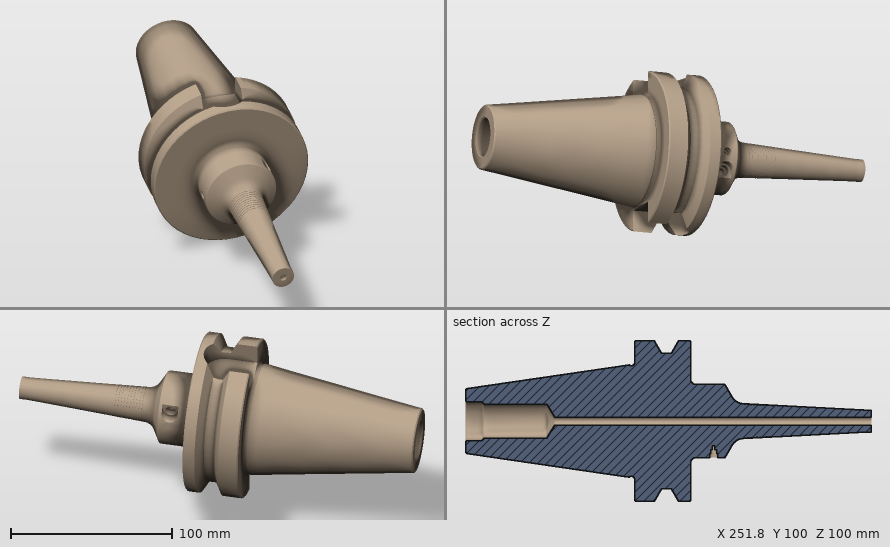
import cadquery as cq
import math


total_length = 251.8
shank_length = 101.7
shank_slope = 7 / 24 / 2
gauge_radius = 35.0
shank_end_radius = gauge_radius - shank_length * shank_slope
shank_end_chamfer = 0.8
neck_radius = 69.0 / 2
neck_step = 0.5
neck_fillet = 1.8

flange_radius = 100.0 / 2
flange_start = 3.0
flange_end = 38.0
flange_chamfer = 0.8
groove_center = 23.0
groove_floor_radius = 42.3
groove_floor_width = 6.0
groove_flank_width = (flange_radius - groove_floor_radius) * math.tan(math.radians(30))

key_slot_width = 25.7
key_slot_floor = 35.0
key_slot_end = 34.2

collar_radius = 45.8 / 2
collar_root_fillet = 3.0
collar_end = 59.2
collar_edge_fillet = 1.0
shoulder_angle = math.radians(60)
shoulder_arc_radius = 8.3

tip_x = total_length - shank_length
tip_radius = 14.0 / 2
tip_length = 5.0
nose_angle = math.radians(3)

ring_count = 10
ring_start = 71.3
ring_pitch = 1.91
ring_width = 0.5
ring_depth = 0.3

bore_mouth_radius = 25.5 / 2
bore_radius = 24.0 / 2
bore_step_depth = 10.0
thread_radius = 21.0 / 2
thread_depth = 50.4
through_radius = 4.5 / 2
drill_half_angle = math.radians(59)

side_hole_x = 52.0
pocket_width = 10.0
pocket_floor = 16.0
pocket_z = 12.0
screw_z = 11.8
screw_diameter = 6.8
screw_depth = 3.8
screw_core_diameter = 4.5
screw_core_depth = 7.5
small_hole_z = 1.0
small_hole_diameters = (5.0, 4.0, 2.32)
small_hole_step = 2.5


def revolve_about_x(outline):
    return outline.close().revolve(360, (0, 0, 0), (1, 0, 0))


def nose_radius(x):
    """Radius of the conical nose at position x."""
    return tip_radius + (tip_x - tip_length - x) * math.tan(nose_angle)


def make_body():
    groove_left = groove_center - groove_floor_width / 2
    groove_right = groove_center + groove_floor_width / 2

    shoulder_drop = shoulder_arc_radius * (math.cos(nose_angle) - math.cos(shoulder_angle))
    shoulder_run = shoulder_arc_radius * (math.sin(shoulder_angle) - math.sin(nose_angle))
    cone_slope = math.tan(shoulder_angle)
    nose_slope = math.tan(nose_angle)
    landing_drop = collar_radius - shoulder_drop - nose_radius(collar_end + shoulder_run)
    cone_length = landing_drop / (cone_slope - nose_slope)
    arc_start = (collar_end + cone_length, collar_radius - cone_length * cone_slope)
    arc_end = (arc_start[0] + shoulder_run, arc_start[1] - shoulder_drop)

    edge_setback = collar_edge_fillet * math.tan(shoulder_angle / 2)
    edge_end = (
        collar_end + edge_setback * math.cos(shoulder_angle),
        collar_radius - edge_setback * math.sin(shoulder_angle),
    )

    outline = (
        cq.Workplane("XY")
        .moveTo(-shank_length, 0)
        .lineTo(-shank_length, shank_end_radius - shank_end_chamfer)
        .lineTo(-shank_length + shank_end_chamfer, shank_end_radius + shank_end_chamfer * shank_slope)
        .lineTo(0, gauge_radius)
        .lineTo(neck_step, neck_radius)
        .lineTo(flange_start - neck_fillet, neck_radius)
        .radiusArc((flange_start, neck_radius + neck_fillet), -neck_fillet)
        .lineTo(flange_start, flange_radius - flange_chamfer)
        .lineTo(flange_start + flange_chamfer, flange_radius)
        .lineTo(groove_left - groove_flank_width, flange_radius)
        .lineTo(groove_left, groove_floor_radius)
        .lineTo(groove_right, groove_floor_radius)
        .lineTo(groove_right + groove_flank_width, flange_radius)
        .lineTo(flange_end - flange_chamfer, flange_radius)
        .lineTo(flange_end, flange_radius - flange_chamfer)
        .lineTo(flange_end, collar_radius + collar_root_fillet)
        .radiusArc((flange_end + collar_root_fillet, collar_radius), -collar_root_fillet)
        .lineTo(collar_end - edge_setback, collar_radius)
        .radiusArc(edge_end, collar_edge_fillet)
        .lineTo(*arc_start)
        .radiusArc(arc_end, -shoulder_arc_radius)
        .lineTo(tip_x - tip_length, tip_radius)
        .lineTo(tip_x, tip_radius)
        .lineTo(tip_x, 0)
    )
    return revolve_about_x(outline)


def make_bore():
    back = -shank_length
    mouth_chamfer = bore_mouth_radius - bore_radius
    step_end = back + bore_step_depth + bore_radius - thread_radius
    point_length = (thread_radius - through_radius) / math.tan(drill_half_angle)
    outline = (
        cq.Workplane("XY")
        .moveTo(back, 0)
        .lineTo(back, bore_mouth_radius)
        .lineTo(back + mouth_chamfer, bore_radius)
        .lineTo(back + bore_step_depth, bore_radius)
        .lineTo(step_end, thread_radius)
        .lineTo(back + thread_depth, thread_radius)
        .lineTo(back + thread_depth + point_length, through_radius)
        .lineTo(tip_x, through_radius)
        .lineTo(tip_x, 0)
    )
    return revolve_about_x(outline)


def make_ring(index):
    """Ring groove; its cutter stands proud of the nose by the groove depth."""
    start = ring_start + index * ring_pitch
    end = start + ring_width
    outline = (
        cq.Workplane("XY")
        .moveTo(start, nose_radius(start) - ring_depth)
        .lineTo(start, nose_radius(start) + ring_depth)
        .lineTo(end, nose_radius(end) + ring_depth)
        .lineTo(end, nose_radius(end) - ring_depth)
    )
    return revolve_about_x(outline)


def make_key_slot():
    """Upper slot, open towards the shank and rounded at its far end."""
    arc_center = key_slot_end - key_slot_width / 2
    return (
        cq.Workplane("XY", origin=(0, 0, key_slot_floor))
        .moveTo(0, -key_slot_width / 2)
        .lineTo(arc_center, -key_slot_width / 2)
        .threePointArc((key_slot_end, 0), (arc_center, key_slot_width / 2))
        .lineTo(0, key_slot_width / 2)
        .close()
        .extrude(flange_radius - key_slot_floor)
    )


def make_side_hole(z, mouth_y, profile):
    """Round hole running in +Y, from (radius, depth) points that end at its drill point."""
    end_radius, end_depth = profile[-1]
    point_depth = end_depth + end_radius / math.tan(drill_half_angle)
    outline = cq.Workplane("XY", origin=(side_hole_x, mouth_y, z)).moveTo(0, 0)
    for radius, depth in profile:
        outline = outline.lineTo(radius, depth)
    return outline.lineTo(0, point_depth).close().revolve(360, (0, 0, 0), (0, 1, 0))


def make_screw_pocket():
    """Flat-floored pocket on the -Y side, rounded at the top and open downwards."""
    return (
        cq.Workplane("XZ", origin=(side_hole_x, -pocket_floor, -pocket_z))
        .moveTo(-pocket_width / 2, 0)
        .threePointArc((0, pocket_width / 2), (pocket_width / 2, 0))
        .lineTo(pocket_width / 2, pocket_z - collar_radius)
        .lineTo(-pocket_width / 2, pocket_z - collar_radius)
        .close()
        .extrude(collar_radius - pocket_floor)
    )


def make_screw_hole():
    """Stepped hole in the floor of the screw pocket."""
    points = (
        (screw_diameter / 2, 0),
        (screw_diameter / 2, screw_depth),
        (screw_core_diameter / 2, screw_depth),
        (screw_core_diameter / 2, screw_core_depth),
    )
    return make_side_hole(-screw_z, -pocket_floor, points)


def make_small_hole():
    """Hole beside the pocket that narrows in equal steps."""
    points = []
    for step, diameter in enumerate(small_hole_diameters):
        points.append((diameter / 2, step * small_hole_step))
        points.append((diameter / 2, (step + 1) * small_hole_step))
    return make_side_hole(-small_hole_z, -collar_radius, points)


result = make_body().cut(make_bore())

for ring_index in range(ring_count):
    result = result.cut(make_ring(ring_index))

for cutter in (make_key_slot(), make_screw_pocket(), make_screw_hole()):
    for turn in (0, 180):
        result = result.cut(cutter.rotate((0, 0, 0), (1, 0, 0), turn))

result = result.cut(make_small_hole())